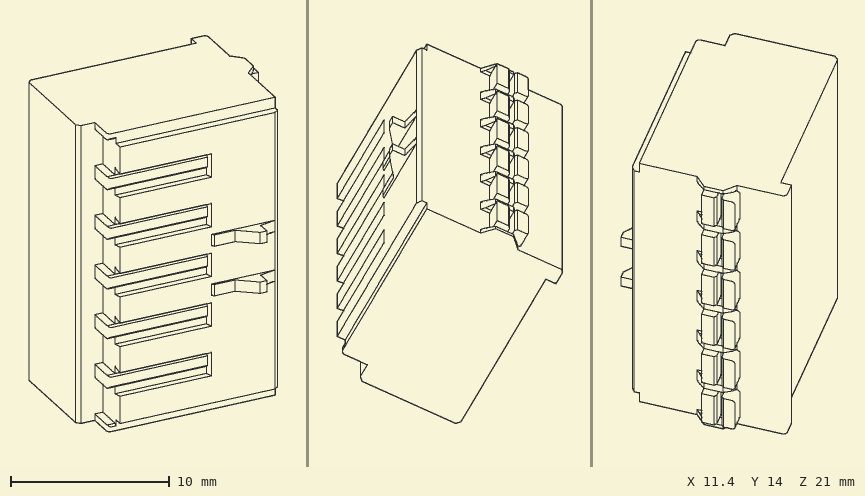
import cadquery as cq

height = 21.0
pole_count = 6
pitch = height / pole_count

back_y = 12.98
front_width = 7.15
rib_width = 9.0
step_y = 1.22
front_bevel = 0.25
step_radius = 0.25
flange_reach = 0.71
flange_front_y = 11.89
flange_radius = 0.27
hump_base = (2.55, 5.19)
hump_top = (3.23, 4.5)
hump_height = 0.71
hump_bevel_y = 0.48
hump_bevel_z = 0.17

rib_height = 0.92
rib_bevel = 0.13

pole_width = 9.58
pole_front_y = 1.78
pole_bevel_x = 0.23
pole_bevel_y = 0.32
pole_end_margin = 0.75

groove_floor_x = 8.86
groove_floor_height = 1.93
groove_mouth_height = 1.64
groove_end_y = 8.21

tab_height = 2.52
tab_reach = 1.03
tab_left = (2.33, 3.25)
tab_right = (3.6, 4.55)
tab_side_radius = 0.25
tab_tip_bevel = 0.15

latch_height = 0.8
latch_stem_x = 9.72
latch_stem_start_y = 8.34
latch_ramp_start_y = 9.8
latch_ramp_end_y = 11.09
latch_catch_x = 9.83
latch_catch_y = 11.55
latch_tip_x = 10.69
latch_poles = (2, 3)


def extrude_z(points, z_low, z_high):
    """Prism along Z over an XY outline."""
    return cq.Workplane("XY").workplane(offset=z_low).polyline(points).close().extrude(z_high - z_low)


def housing_core():
    """Housing between the ribs, with its flange along the back edge."""
    outline = [
        (0, 0),
        (front_width, 0),
        (front_width, pole_front_y),
        (rib_width, pole_front_y),
        (rib_width, back_y),
        (-flange_reach, back_y),
        (-flange_reach, flange_front_y),
        (0, flange_front_y),
    ]
    core = extrude_z(outline, 0, height)
    core = core.faces("<Y").edges("|Z").chamfer(front_bevel)
    corner = cq.selectors.NearestToPointSelector((-flange_reach, back_y, height / 2))
    return core.edges(corner).fillet(flange_radius)


def front_rib(z_mid):
    """Rib in the front step, rounded at its corner, with bevelled edges at its +X end."""
    outline = [
        (front_width, step_y),
        (rib_width, step_y),
        (rib_width, back_y),
        (front_width, back_y),
    ]
    half = rib_height / 2
    prism = extrude_z(outline, z_mid - half, z_mid + half)
    corner = cq.selectors.NearestToPointSelector((rib_width, step_y, z_mid))
    prism = prism.edges(corner).fillet(step_radius)
    side_outline = [
        (0, -half),
        (rib_width - rib_bevel, -half),
        (rib_width, rib_bevel - half),
        (rib_width, half - rib_bevel),
        (rib_width - rib_bevel, half),
        (0, half),
    ]
    side_prism = cq.Workplane("XZ").polyline(side_outline).close().extrude(-back_y)
    return prism.intersect(side_prism.translate((0, 0, z_mid)))


def back_hump(z_mid):
    """Trapezoidal hump on the back of a rib, bevelled along its top and bottom."""
    outline = [
        (hump_base[0], back_y),
        (hump_top[0], back_y + hump_height),
        (hump_top[1], back_y + hump_height),
        (hump_base[1], back_y),
    ]
    half = rib_height / 2
    tip_y = back_y + hump_height
    prism = extrude_z(outline, z_mid - half, z_mid + half)
    side_outline = [
        (back_y, -half),
        (tip_y - hump_bevel_y, -half),
        (tip_y, hump_bevel_z - half),
        (tip_y, half - hump_bevel_z),
        (tip_y - hump_bevel_y, half),
        (back_y, half),
    ]
    side_prism = cq.Workplane("YZ").polyline(side_outline).close().extrude(hump_base[1])
    return prism.intersect(side_prism.translate((0, 0, z_mid)))


def pole_faces():
    """Raised layer on the +X side, stopping short of the housing ends."""
    outline = [
        (front_width, pole_front_y),
        (pole_width, pole_front_y),
        (pole_width, back_y - pole_bevel_y),
        (pole_width - pole_bevel_x, back_y),
        (front_width, back_y),
    ]
    return extrude_z(outline, pole_end_margin, height - pole_end_margin)


def dovetail_groove(z_mid):
    """Cutter for a dovetail groove, narrower at its mouth."""
    half_floor = groove_floor_height / 2
    half_mouth = groove_mouth_height / 2
    outline = [
        (groove_floor_x, z_mid - half_floor),
        (pole_width, z_mid - half_mouth),
        (pole_width, z_mid + half_mouth),
        (groove_floor_x, z_mid + half_floor),
    ]
    return cq.Workplane("XZ").polyline(outline).close().extrude(-groove_end_y)


def tab_pair(z_mid):
    """Two tabs on the back of a pole, facing each other across a gap."""
    tip_y = back_y + tab_reach
    z_low = z_mid - tab_height / 2
    z_high = z_mid + tab_height / 2
    left = extrude_z(
        [
            (tab_left[0], back_y),
            (tab_left[0], tip_y),
            (tab_left[1] - tab_tip_bevel, tip_y),
            (tab_left[1], tip_y - tab_tip_bevel),
            (tab_left[1], back_y),
        ],
        z_low,
        z_high,
    )
    left = left.faces("<X").edges("|Y").fillet(tab_side_radius)
    right = extrude_z(
        [
            (tab_right[0], back_y),
            (tab_right[0], tip_y - tab_tip_bevel),
            (tab_right[0] + tab_tip_bevel, tip_y),
            (tab_right[1], tip_y),
            (tab_right[1], back_y),
        ],
        z_low,
        z_high,
    )
    return left.union(right)


def latch(z_mid):
    """Hooked latch on a pole face."""
    outline = [
        (pole_width, groove_end_y),
        (latch_stem_x, latch_stem_start_y),
        (latch_stem_x, latch_ramp_start_y),
        (latch_tip_x, latch_ramp_end_y),
        (latch_tip_x, latch_catch_y),
        (latch_catch_x, latch_catch_y),
        (pole_width, back_y - pole_bevel_y),
    ]
    return extrude_z(outline, z_mid - latch_height / 2, z_mid + latch_height / 2)


def height_envelope():
    """Block that trims the outermost ribs and humps flush with the housing ends."""
    size_x = flange_reach + pole_width
    size_y = back_y + hump_height
    block = cq.Workplane("XY").box(size_x, size_y, height, centered=False)
    return block.translate((-flange_reach, 0, 0))


result = housing_core().union(pole_faces())
for index in range(1, pole_count):
    result = result.cut(dovetail_groove(index * pitch))
for index in range(pole_count + 1):
    result = result.union(front_rib(index * pitch)).union(back_hump(index * pitch))
result = result.intersect(height_envelope())
for index in range(pole_count):
    result = result.union(tab_pair((index + 0.5) * pitch))
for index in latch_poles:
    result = result.union(latch((index + 0.5) * pitch))